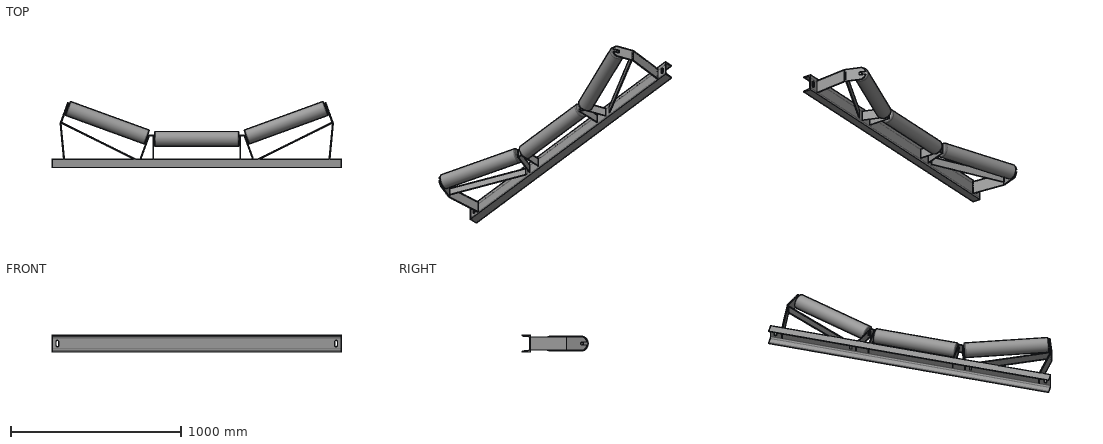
import cadquery as cq
import math


CHANNEL_LENGTH = 1700.0
CHANNEL_HEIGHT = 100.0
CHANNEL_DEPTH = 50.0
WEB_THICKNESS = 6.0
FLANGE_ROOT = 10.0
FLANGE_TIP = 7.0
ROOT_FILLET = 8.0
TIP_FILLET = 4.2
SLOT_WIDTH = 15.0
SLOT_HEIGHT = 37.0
SLOT_INSET = 30.0

ROLLER_DIAMETER = 88.0
ROLLER_LENGTH = 495.0
ROLLER_EDGE = 5.0
SHAFT_DIAMETER = 19.0
SIDE_GAP = 6.0
CENTRE_ROLLER_Y = 119.0
WING_ANGLE = 20.0
WING_X = 525.0
WING_Y = 215.0

STRIP_WIDTH = 78.0
OUTER_THICKNESS = 7.0
OUTER_FOOT_X = 784.0
BEND_BELOW_AXIS = 99.0
TIP_ABOVE_AXIS = 32.0
TIP_ROUND = 25.0
INNER_THICKNESS = 5.0
INNER_WIDTH = 60.0
INNER_TOP_Y = 141.0
BRACE_WIDTH = 50.0
BRACE_THICKNESS = 6.0
BRACE_FOOT_X = 357.0
BRACE_SLOPE = 26.4

ROLLER_END = ROLLER_LENGTH / 2
STRIP_FACE = ROLLER_END + SIDE_GAP
ANGLE = math.radians(WING_ANGLE)
BEYOND = CHANNEL_LENGTH


def wing_point(along, across):
    """Point at a distance along and across the axis of the right wing roller."""
    return (
        WING_X + along * math.cos(ANGLE) - across * math.sin(ANGLE),
        WING_Y + along * math.sin(ANGLE) + across * math.cos(ANGLE),
    )


def wing_point_at_height(along, y):
    """Point at height y on the line square to the right wing roller's axis."""
    return wing_point(along, (y - WING_Y - along * math.sin(ANGLE)) / math.cos(ANGLE))


def on_side(body, side):
    """Keep the right-hand body (side 1) or mirror it to the left (side -1)."""
    return body if side > 0 else body.mirror("YZ")


def make_strip(points, width):
    """Extrude an outline symmetrically about Z = 0."""
    return cq.Workplane("XY").polyline(points).close().extrude(width / 2, both=True)


def to_wing(body):
    """Move a body built around the origin onto the right wing roller's axis."""
    return body.rotate((0, 0, 0), (0, 0, 1), WING_ANGLE).translate((WING_X, WING_Y, 0))


def make_shaft_slot(start, thickness, open_length):
    """Slot with a round bottom, open in +Y, through a strip that is square to X."""
    round_end = cq.Workplane("YZ").circle(SHAFT_DIAMETER / 2).extrude(thickness)
    sides = cq.Workplane("XY").box(thickness, open_length, SHAFT_DIAMETER, centered=(False, False, True))
    return round_end.union(sides).translate((start, 0, 0))


def make_channel():
    """Base channel open towards -Y, with a fixing slot near each end of its web."""
    half = CHANNEL_HEIGHT / 2
    profile = [
        (0, -half),
        (-CHANNEL_DEPTH, -half),
        (-CHANNEL_DEPTH, -half + FLANGE_TIP),
        (-WEB_THICKNESS, -half + FLANGE_ROOT),
        (-WEB_THICKNESS, half - FLANGE_ROOT),
        (-CHANNEL_DEPTH, half - FLANGE_TIP),
        (-CHANNEL_DEPTH, half),
        (0, half),
    ]
    channel = cq.Workplane("YZ").polyline(profile).close().extrude(CHANNEL_LENGTH / 2, both=True)
    for side in (-1, 1):
        root = cq.selectors.NearestToPointSelector((0, -WEB_THICKNESS, side * (half - FLANGE_ROOT)))
        tip = cq.selectors.NearestToPointSelector((0, -CHANNEL_DEPTH, side * (half - FLANGE_TIP)))
        channel = channel.edges("|X").edges(root).fillet(ROOT_FILLET)
        channel = channel.edges("|X").edges(tip).fillet(TIP_FILLET)
    slot_x = CHANNEL_LENGTH / 2 - SLOT_INSET
    slots = (
        cq.Workplane("XZ")
        .pushPoints([(-slot_x, 0), (slot_x, 0)])
        .slot2D(SLOT_HEIGHT, SLOT_WIDTH, 90)
        .extrude(WEB_THICKNESS)
    )
    return channel.cut(slots)


def make_roller(shaft_reach_left, shaft_reach_right):
    """Roller along X about the origin, its shaft ending at the given distances."""
    shell = cq.Workplane("YZ", origin=(-ROLLER_END, 0, 0)).circle(ROLLER_DIAMETER / 2).extrude(ROLLER_LENGTH)
    shell = shell.edges("%CIRCLE").fillet(ROLLER_EDGE)
    shaft = (
        cq.Workplane("YZ", origin=(-shaft_reach_left, 0, 0))
        .circle(SHAFT_DIAMETER / 2)
        .extrude(shaft_reach_left + shaft_reach_right)
    )
    return shell.union(shaft)


def make_outer_bracket():
    """Strip bent square to the wing roller, with a rounded tip slotted for the shaft."""
    inner = STRIP_FACE
    outer = STRIP_FACE + OUTER_THICKNESS
    outer_bend = wing_point(outer, -BEND_BELOW_AXIS)
    inner_bend = wing_point(inner, -BEND_BELOW_AXIS)
    bracket = make_strip(
        [
            (OUTER_FOOT_X, 0),
            outer_bend,
            wing_point(outer, TIP_ABOVE_AXIS),
            wing_point(inner, TIP_ABOVE_AXIS),
            inner_bend,
            (OUTER_FOOT_X - OUTER_THICKNESS, 0),
        ],
        STRIP_WIDTH,
    )
    half = STRIP_WIDTH / 2
    shoulder = TIP_ABOVE_AXIS - TIP_ROUND
    envelope = (
        cq.Workplane("YZ")
        .moveTo(-BEYOND, -half)
        .lineTo(shoulder, -half)
        .threePointArc((TIP_ABOVE_AXIS, 0), (shoulder, half))
        .lineTo(-BEYOND, half)
        .close()
        .extrude(BEYOND, both=True)
    )
    slot = make_shaft_slot(inner, OUTER_THICKNESS, TIP_ABOVE_AXIS)
    return bracket.intersect(to_wing(envelope)).cut(to_wing(slot))


def make_inner_bracket():
    """Folded strip: upright leg, level top and a leg square to the wing roller."""
    near = STRIP_FACE
    far = STRIP_FACE + INNER_THICKNESS
    under_top = INNER_TOP_Y - INNER_THICKNESS
    bracket = make_strip(
        [
            (near, 0),
            (near, INNER_TOP_Y),
            wing_point_at_height(-near, INNER_TOP_Y),
            wing_point_at_height(-near, 0),
            wing_point_at_height(-far, 0),
            wing_point_at_height(-far, under_top),
            (far, under_top),
            (far, 0),
        ],
        INNER_WIDTH,
    )
    centre_slot = make_shaft_slot(near, INNER_THICKNESS, INNER_TOP_Y).translate((0, CENTRE_ROLLER_Y, 0))
    wing_slot = make_shaft_slot(-far, INNER_THICKNESS, INNER_TOP_Y)
    return bracket.cut(centre_slot).cut(to_wing(wing_slot))


def make_brace():
    """Flat strip from the channel up to the outer bracket near its bend, trimmed flush at both ends."""
    strip = (
        cq.Workplane("XY")
        .box(BEYOND, BRACE_THICKNESS, BRACE_WIDTH)
        .translate((0, -BRACE_THICKNESS / 2, 0))
        .rotate((0, 0, 0), (0, 0, 1), BRACE_SLOPE)
        .translate((BRACE_FOOT_X, 0, 0))
    )
    space_inside = make_strip(
        [
            (0, 0),
            (OUTER_FOOT_X - OUTER_THICKNESS, 0),
            wing_point(STRIP_FACE, -BEND_BELOW_AXIS),
            wing_point(STRIP_FACE, TIP_ABOVE_AXIS),
        ],
        STRIP_WIDTH,
    )
    return strip.intersect(space_inside)


channel = make_channel()

inner_reach = STRIP_FACE + INNER_THICKNESS
outer_reach = STRIP_FACE + OUTER_THICKNESS
centre_roller = make_roller(inner_reach, inner_reach).translate((0, CENTRE_ROLLER_Y, 0))
wing_roller = to_wing(make_roller(inner_reach, outer_reach))

bodies = [channel.val(), centre_roller.val()]
for side in (-1, 1):
    for part in (wing_roller, make_outer_bracket(), make_inner_bracket(), make_brace()):
        bodies.append(on_side(part, side).val())

result = cq.Compound.makeCompound(bodies)